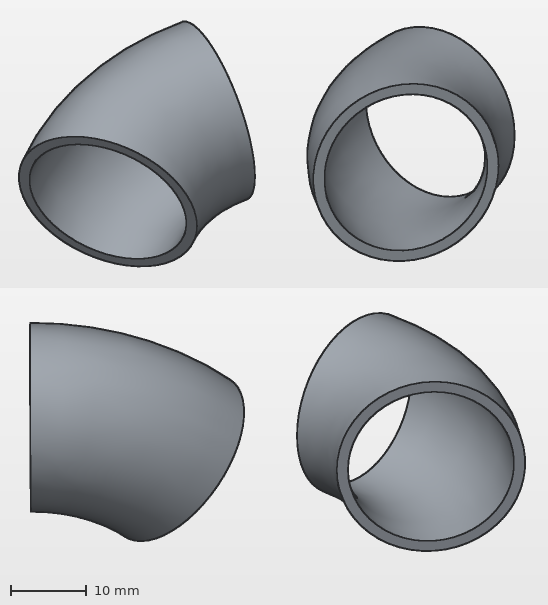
import cadquery as cq
import math

overall_length = 29.4
outer_diameter = 25.0
wall = 1.5
bend_angle = 45.0

outer_radius = outer_diameter / 2
inner_radius = outer_radius - wall

bend_cos = math.cos(math.radians(bend_angle))
bend_radius = (overall_length - outer_radius * (1 + bend_cos)) / (1 - bend_cos)

result = (
    cq.Workplane("XZ")
    .circle(outer_radius)
    .circle(inner_radius)
    .revolve(bend_angle, (bend_radius, 0, 0), (bend_radius, -1, 0))
)